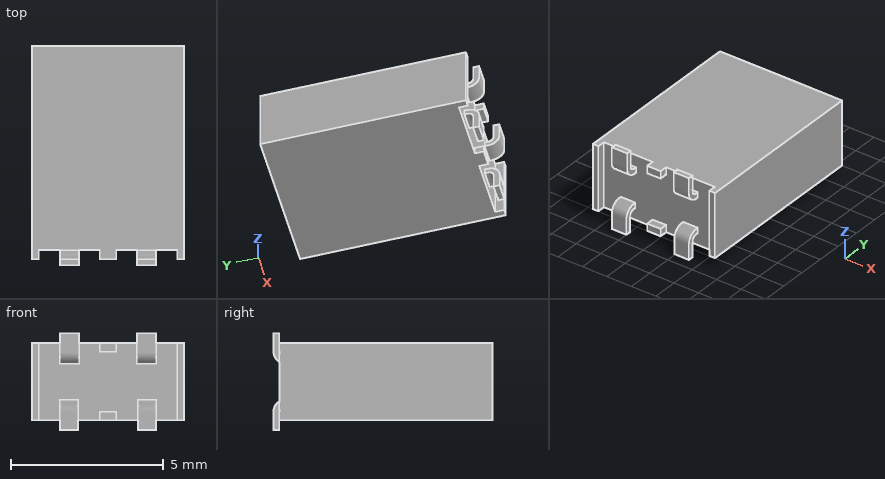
import cadquery as cq

total_length = 7.2
total_height = 3.19
body_width = 5.0
body_height = 2.54

wall_thickness = 0.23
wall_depth = 0.3
pad_width = 0.55
pad_height = 0.29

pin_thickness = 0.2
pin_protrusion = 0.5
bend_radius = 0.395
pin_tip_length = 0.605
pin_outer_edge = 1.58
upper_pin_width = 0.63
lower_pin_width = 0.6

pin_front = -total_length / 2
body_back = total_length / 2
recess_face = pin_front + pin_protrusion
wall_front = recess_face - wall_depth


def front_block(width, height, x, z):
    """Block standing on the recessed face and flush with the wall fronts."""
    return (
        cq.Workplane("XY")
        .box(width, wall_depth, height)
        .translate((x, (recess_face + wall_front) / 2, z))
    )


def upper_left_pin(width):
    """L-shaped pin leaving the body and bending upward."""
    tip_z = total_height / 2
    bend_end_z = tip_z - pin_tip_length
    bottom_z = bend_end_z - bend_radius
    bend_start_y = pin_front + bend_radius
    inner_radius = bend_radius - pin_thickness
    profile = (
        cq.Workplane("YZ")
        .moveTo(recess_face, bottom_z)
        .lineTo(bend_start_y, bottom_z)
        .radiusArc((pin_front, bend_end_z), bend_radius)
        .lineTo(pin_front, tip_z)
        .lineTo(pin_front + pin_thickness, tip_z)
        .lineTo(pin_front + pin_thickness, bend_end_z)
        .radiusArc((bend_start_y, bottom_z + pin_thickness), -inner_radius)
        .lineTo(recess_face, bottom_z + pin_thickness)
        .close()
    )
    return profile.extrude(width).translate((-pin_outer_edge, 0, 0))


body_length = body_back - recess_face
result = (
    cq.Workplane("XY")
    .box(body_width, body_length, body_height)
    .translate((0, (body_back + recess_face) / 2, 0))
)

for side in (-1, 1):
    wall_x = side * (body_width - wall_thickness) / 2
    pad_z = side * (body_height - pad_height) / 2
    result = result.union(front_block(wall_thickness, body_height, wall_x, 0))
    result = result.union(front_block(pad_width, pad_height, 0, pad_z))

upper_pin = upper_left_pin(upper_pin_width)
lower_pin = upper_left_pin(lower_pin_width).mirror("XY")
for pin in (upper_pin, lower_pin):
    result = result.union(pin).union(pin.mirror("YZ"))